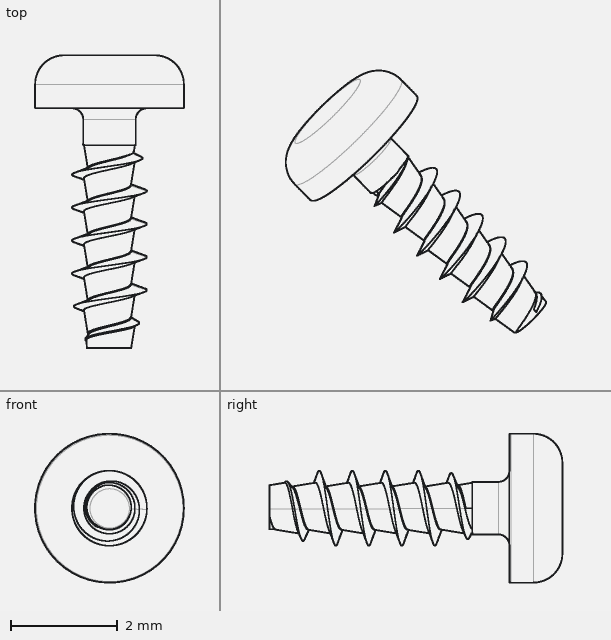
import cadquery as cq
import math


head_radius = 1.4
head_height = 1.0
crown_radius = 0.55
rim_radius = 0.025

shank_radius = 0.495
neck_fillet = 0.205
shank_depth = 0.69
screw_length = 4.5
core_radius = 0.4
dimple_radius = 0.37
dimple_depth = 0.03

pitch = 0.62
thread_start_depth = 0.67
crest_depth_at_x = 0.93
crest_radius = 0.705
thread_end_depth = 4.44
start_crest_radius = 0.5
crest_rise_start = 0.465
full_crest_start = 1.25
full_crest_end = 3.62
end_crest_radius = 0.42
buried_radius = 0.385
head_flank_width = 0.105
tip_flank_width = 0.075
root_radius = 0.48
least_root_radius = 0.395
root_drop = 0.02
root_slope = 0.165
root_end_offset = 0.505
points_per_turn = 24


def make_head():
    """Head, neck fillet and shank as one revolved profile (radius, Y)."""
    diagonal = math.sqrt(0.5)
    crown_center = (head_radius - crown_radius, head_height - crown_radius)
    crown_mid = (
        crown_center[0] + crown_radius * diagonal,
        crown_center[1] + crown_radius * diagonal,
    )
    rim_mid = (
        head_radius - rim_radius * (1 - diagonal),
        rim_radius * (1 - diagonal),
    )
    neck_mid = (
        shank_radius + neck_fillet * (1 - diagonal),
        -neck_fillet * (1 - diagonal),
    )
    profile = (
        cq.Workplane("XY")
        .moveTo(0, head_height)
        .lineTo(crown_center[0], head_height)
        .threePointArc(crown_mid, (head_radius, crown_center[1]))
        .lineTo(head_radius, rim_radius)
        .threePointArc(rim_mid, (head_radius - rim_radius, 0))
        .lineTo(shank_radius + neck_fillet, 0)
        .threePointArc(neck_mid, (shank_radius, -neck_fillet))
        .lineTo(shank_radius, -shank_depth)
        .lineTo(0, -shank_depth)
        .close()
    )
    return profile.revolve(360, (0, 0, 0), (0, 1, 0))


def crest_radius_at(depth):
    """Crest radius: rises to full height after the start and falls again near the tip."""
    rise = (depth - crest_rise_start) / (full_crest_start - crest_rise_start)
    fall = (thread_end_depth - depth) / (thread_end_depth - full_crest_end)
    rising = start_crest_radius + (crest_radius - start_crest_radius) * rise
    falling = end_crest_radius + (crest_radius - end_crest_radius) * fall
    return min(crest_radius, max(rising, start_crest_radius), falling)


def thread_section(depth):
    """Corners (radius, depth) of the thread and root section whose crest is at this depth."""
    crest = crest_radius_at(depth)
    root = min(root_radius, crest - root_drop)
    flank_share = (crest - core_radius) / (crest_radius - core_radius)
    root_start = max(depth + tip_flank_width * flank_share, shank_depth)
    root_end = depth + root_end_offset
    root_end_radius = max(root - root_slope * (root_end - root_start), least_root_radius)
    return [
        (buried_radius, depth - head_flank_width),
        (crest, depth),
        (root, root_start),
        (root_end_radius, root_end),
        (buried_radius, root_end),
    ]


def make_thread():
    """Right-handed thread with a tapering root, bounded by ruled helical faces."""
    first_depth = crest_depth_at_x - pitch
    steps = math.ceil((thread_end_depth - first_depth) / pitch * points_per_turn)
    corner_paths = [[] for _ in thread_section(first_depth)]
    for step in range(steps + 1):
        depth = first_depth + (thread_end_depth - first_depth) * step / steps
        angle = 2 * math.pi * (depth - crest_depth_at_x) / pitch
        for path, (radius, corner_depth) in zip(corner_paths, thread_section(depth)):
            path.append(cq.Vector(radius * math.cos(angle), -corner_depth, radius * math.sin(angle)))

    faces = []
    for first in range(0, steps, points_per_turn):
        turn = slice(first, first + points_per_turn + 1)
        edges = [cq.Edge.makeSpline(path[turn]) for path in corner_paths]
        for index, edge in enumerate(edges):
            faces.append(cq.Face.makeRuledSurface(edge, edges[index - 1]))
    for end in (0, -1):
        corners = [path[end] for path in corner_paths]
        faces.append(cq.Face.makeFromWires(cq.Wire.makePolygon(corners, close=True)))
    thread = cq.Solid.makeSolid(cq.Shell.makeShell(faces))
    return cq.Workplane(thread.fix())


def cylinder_along_screw(radius, start_depth, end_depth):
    """Cylinder on the screw axis between two depths."""
    return cq.Workplane("XZ", origin=(0, -start_depth, 0)).circle(radius).extrude(end_depth - start_depth)


def make_threaded_core():
    """Core and thread, cut off flat at the first turn and at the tip."""
    core = cylinder_along_screw(core_radius, 0, screw_length + pitch)
    limits = cylinder_along_screw(head_radius, thread_start_depth, screw_length)
    return core.union(make_thread()).intersect(limits)


def make_tip_dimple():
    """Shallow cone recessed into the tip face."""
    profile = (
        cq.Workplane("XY")
        .moveTo(0, dimple_depth - screw_length)
        .lineTo(dimple_radius, -screw_length)
        .lineTo(0, -screw_length)
        .close()
    )
    return profile.revolve(360, (0, 0, 0), (0, 1, 0))


threaded_screw = make_head().union(make_threaded_core())
result = threaded_screw.cut(make_tip_dimple()).solids()